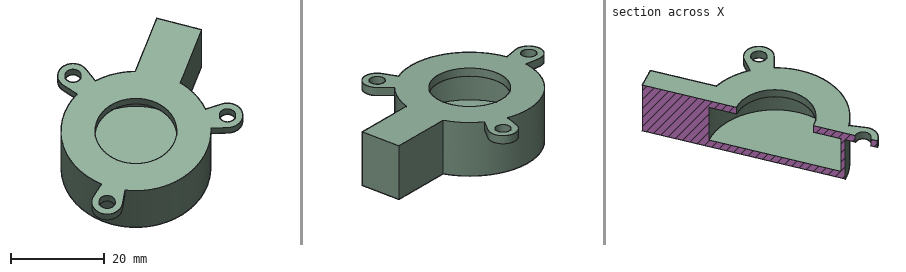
import cadquery as cq
import math

height = 13.0
body_diameter = 32.0
cavity_diameter = 30.0
inlet_diameter = 17.5
lid_thickness = 2.0
floor_thickness = lid_thickness

outlet_width = 10.1
total_length = 53.45

ear_diameter = 6.6
ear_hole_diameter = 3.5
ear_thickness = lid_thickness
ear_distance = 20.0
ear_angles = (30, 150, 270)

ear_radius = ear_diameter / 2
outlet_end = total_length - ear_distance - ear_radius
ear_bottom = height - ear_thickness


def make_ear(angle):
    """Teardrop ear whose straight sides run from the housing axis, tangent to its round end."""
    side_angle = math.asin(ear_radius / ear_distance)
    tangent_length = ear_distance * math.cos(side_angle)
    tangent_x = tangent_length * math.cos(side_angle)
    tangent_y = tangent_length * math.sin(side_angle)
    ear = (
        cq.Workplane("XY")
        .workplane(offset=ear_bottom)
        .moveTo(0, 0)
        .lineTo(tangent_x, -tangent_y)
        .threePointArc((ear_distance + ear_radius, 0), (tangent_x, tangent_y))
        .close()
        .extrude(ear_thickness)
    )
    return ear.rotate((0, 0, 0), (0, 0, 1), angle)


def make_ear_hole(angle):
    hole = (
        cq.Workplane("XY")
        .workplane(offset=ear_bottom)
        .center(ear_distance, 0)
        .circle(ear_hole_diameter / 2)
        .extrude(ear_thickness)
    )
    return hole.rotate((0, 0, 0), (0, 0, 1), angle)


result = cq.Workplane("XY").circle(body_diameter / 2).extrude(height)
outlet = cq.Workplane("XY").box(
    outlet_width, outlet_end, height, centered=(True, False, False)
)
result = result.union(outlet)

for ear_angle in ear_angles:
    result = result.union(make_ear(ear_angle)).cut(make_ear_hole(ear_angle))

cavity_height = height - floor_thickness - lid_thickness
cavity = (
    cq.Workplane("XY")
    .workplane(offset=floor_thickness)
    .circle(cavity_diameter / 2)
    .extrude(cavity_height)
)
inlet = (
    cq.Workplane("XY")
    .workplane(offset=floor_thickness)
    .circle(inlet_diameter / 2)
    .extrude(height - floor_thickness)
)
result = result.cut(cavity).cut(inlet)